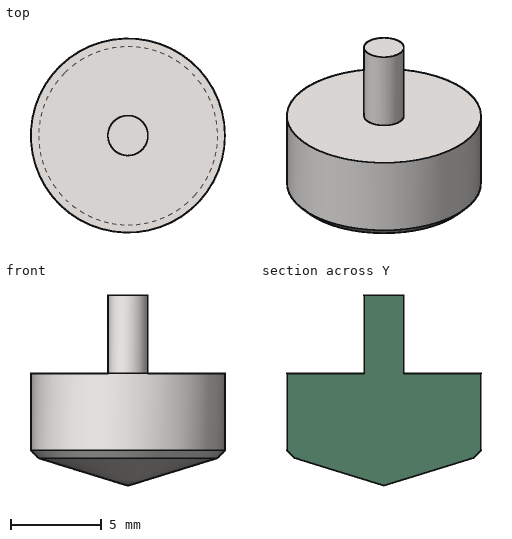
import cadquery as cq

overall_height = 10.5
body_diameter = 10.7
pin_diameter = 2.2
pin_length = 4.3
cone_height = 1.52
bevel_height = 0.43
bevel_width = 0.43

body_radius = body_diameter / 2
pin_radius = pin_diameter / 2
cone_base_radius = body_radius - bevel_width
bevel_top = cone_height + bevel_height
body_top = overall_height - pin_length

half_section = (
    cq.Workplane("XZ")
    .moveTo(0, 0)
    .lineTo(cone_base_radius, cone_height)
    .lineTo(body_radius, bevel_top)
    .lineTo(body_radius, body_top)
    .lineTo(pin_radius, body_top)
    .lineTo(pin_radius, overall_height)
    .lineTo(0, overall_height)
    .close()
)

result = half_section.revolve(360, (0, 0, 0), (0, 1, 0))